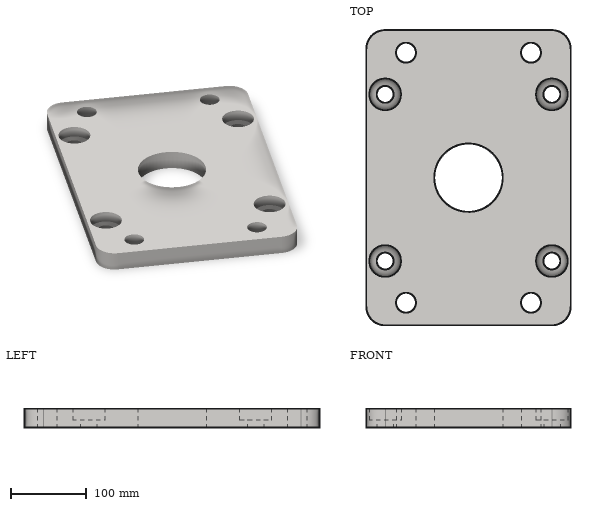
import cadquery as cq

plate_width = 270.0
plate_length = 390.0
plate_thickness = 25.0
corner_radius = 25.0

bore_diameter = 90.0

plain_hole_diameter = 26.0
plain_hole_spacing_x = 165.0
plain_hole_spacing_y = 330.0

bolt_hole_diameter = 22.0
bolt_spacing = 220.0
counterbore_diameter = 42.0
counterbore_depth = 14.5


def make_plate():
    """Flat plate resting on Z = 0 with rounded vertical corners."""
    return (
        cq.Workplane("XY")
        .box(plate_width, plate_length, plate_thickness, centered=(True, True, False))
        .edges("|Z")
        .fillet(corner_radius)
    )


def top_plane(body):
    """Sketch plane on the top face, centred on the plate."""
    return body.faces(">Z").workplane(origin=(0, 0, plate_thickness))


def cut_central_bore(body):
    return top_plane(body).hole(bore_diameter)


def cut_plain_holes(body):
    return (
        top_plane(body)
        .rarray(plain_hole_spacing_x, plain_hole_spacing_y, 2, 2)
        .hole(plain_hole_diameter)
    )


def cut_counterbored_holes(body):
    return (
        top_plane(body)
        .rarray(bolt_spacing, bolt_spacing, 2, 2)
        .cboreHole(bolt_hole_diameter, counterbore_diameter, counterbore_depth)
    )


plate = make_plate()
plate = cut_central_bore(plate)
plate = cut_plain_holes(plate)
result = cut_counterbored_holes(plate)